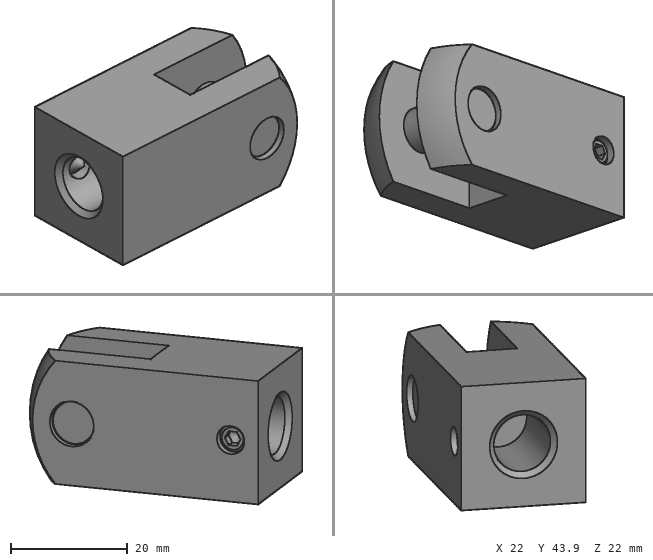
import cadquery as cq
import math

length = 43.9
side = 22.0
half_side = side / 2
dome_radius = 20.0
slot_width = 9.0
slot_floor_y = 22.0

bore_diameter = 10.0
bore_mouth_diameter = 12.0
bore_depth = 17.55

pin_diameter = 8.0
pin_y = 34.0
pin_recess = 1.0
pin_chamfer = 0.2

screw_diameter = 5.0
screw_y = 5.0
screw_recess = 1.0
screw_chamfer = 0.53
screw_tip_x = -4.0
socket_flats = 2.5
socket_depth = 1.75
socket_point_angle = 118.0


def cross_cylinder(diameter, y, start_x, end_x):
    """Cylinder along X at height zero."""
    plane = cq.Workplane("YZ", origin=(start_x, 0, 0))
    return plane.center(y, 0).circle(diameter / 2).extrude(end_x - start_x)


def make_dome():
    """Sphere whose surface passes through the slot edges at the full length."""
    center_y = length - math.sqrt(dome_radius**2 - (slot_width / 2) ** 2)
    sphere = cq.Workplane("XY").sphere(dome_radius).translate((0, center_y, 0))
    shank = cq.Workplane("XY").box(side, center_y, side, centered=(True, False, True))
    front = cq.Workplane("XY").box(side, length, side, centered=(True, False, True))
    front = front.translate((0, center_y, 0))
    return shank.union(front.intersect(sphere))


def make_bore():
    """Blind bore along Y with a 45 degree countersink at its mouth."""
    bore_radius = bore_diameter / 2
    mouth_radius = bore_mouth_diameter / 2
    profile = [
        (0, 0),
        (mouth_radius, 0),
        (bore_radius, mouth_radius - bore_radius),
        (bore_radius, bore_depth),
        (0, bore_depth),
    ]
    return cq.Workplane("XY").polyline(profile).close().revolve(360, (0, 0, 0), (0, 1, 0))


def make_fork():
    slot = cq.Workplane("XY").box(slot_width, length, side, centered=(True, False, True))
    slot = slot.translate((0, slot_floor_y, 0))
    pin_hole = cross_cylinder(pin_diameter, pin_y, -half_side, half_side)
    screw_hole = cross_cylinder(screw_diameter, screw_y, -half_side, 0)
    return make_dome().cut(slot).cut(pin_hole).cut(make_bore()).cut(screw_hole)


def make_pin():
    pin_end_x = half_side - pin_recess
    pin = cross_cylinder(pin_diameter, pin_y, -pin_end_x, pin_end_x)
    return pin.faces("<X or >X").chamfer(pin_chamfer)


def make_socket(head_x):
    """Hexagonal socket with corners along Y and a drill point at its bottom."""
    corner_diameter = socket_flats / math.cos(math.radians(30))
    corner_radius = corner_diameter / 2
    point_depth = corner_radius / math.tan(math.radians(socket_point_angle / 2))
    floor_x = head_x + socket_depth
    hexagon = cq.Workplane("YZ", origin=(head_x, screw_y, 0)).polygon(6, corner_diameter)
    prism = hexagon.extrude(socket_depth + point_depth)
    drill_profile = [
        (head_x, 0),
        (head_x, corner_radius),
        (floor_x, corner_radius),
        (floor_x + point_depth, 0),
    ]
    drill = cq.Workplane("XY", origin=(0, screw_y, 0)).polyline(drill_profile).close()
    return prism.intersect(drill.revolve(360, (0, 0, 0), (1, 0, 0)))


def make_screw():
    """Headless screw with a chamfered outer end and a 90 degree cone point."""
    head_x = -half_side + screw_recess
    radius = screw_diameter / 2
    profile = [
        (head_x, 0),
        (head_x, radius - screw_chamfer),
        (head_x + screw_chamfer, radius),
        (screw_tip_x - radius, radius),
        (screw_tip_x, 0),
    ]
    screw = cq.Workplane("XY", origin=(0, screw_y, 0)).polyline(profile).close()
    return screw.revolve(360, (0, 0, 0), (1, 0, 0)).cut(make_socket(head_x))


fork = make_fork()
cross_pin = make_pin()
set_screw = make_screw()

result = cq.Compound.makeCompound([fork.val(), cross_pin.val(), set_screw.val()])